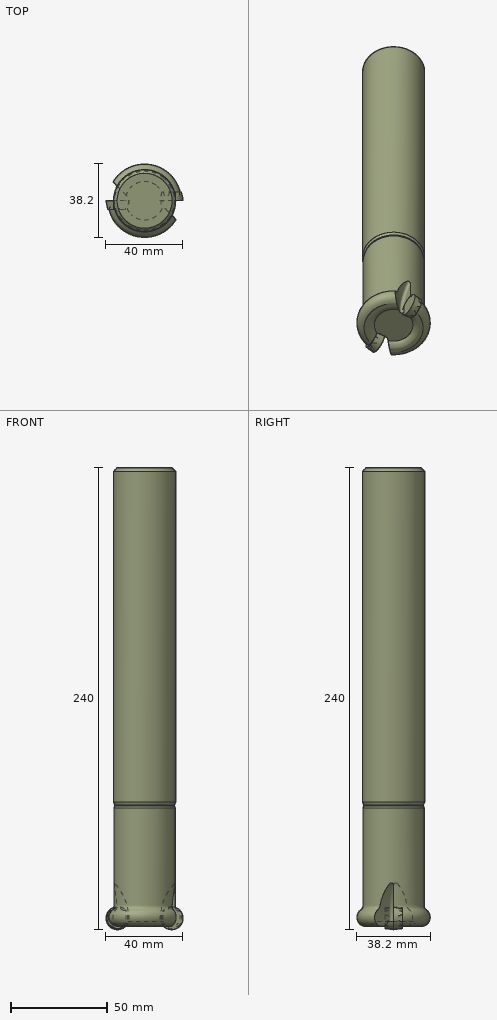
import cadquery as cq
import math

total_length = 240.0
shank_radius = 32.5 / 2
neck_radius = 32.0 / 2
top_chamfer = 2.0

groove_radius = 31.2 / 2
groove_top = 66.5
groove_bottom = 63.4
groove_upper_taper = 1.7
groove_lower_taper = 1.0

insert_count = 2
insert_radius = 6.0
cutting_radius = 40.0 / 2
insert_center_x = cutting_radius - insert_radius
insert_center_z = insert_radius
insert_thickness = 4.5
clearance_angle = 7.0
flat_count = 6
flat_angle = 14.0
flat_start = 1.7

bead_outer_radius = 38.2 / 2
bead_radius = 4.8
bead_center_r = bead_outer_radius - bead_radius
bead_center_z = 6.5
neck_fillet = 2.5
rim_bottom = 1.8
core_bottom = 4.3

pocket_corner_x = 16.5
pocket_corner_y = 10.0
pocket_floor_angle = 44.0
pocket_straight_top = 7.2
pocket_sweep_radius = 30.0
pocket_corner_fillet = 1.2
pocket_sweep_angle = 45.0
pocket_bottom = -2.5
cutter_reach = 48.0


def bead_point(angle):
    """Point (r, z) on the bead circle at an angle in degrees above the outward direction."""
    turn = math.radians(angle)
    return (bead_center_r + bead_radius * math.cos(turn), bead_center_z + bead_radius * math.sin(turn))


def make_blank():
    """Turned profile: collar bead blended into the neck, then the groove, shank and top chamfer."""
    fillet_center_r = neck_radius + neck_fillet
    center_distance = bead_radius + neck_fillet
    blend_angle = math.degrees(math.acos((fillet_center_r - bead_center_r) / center_distance))
    blend_top = bead_center_z + center_distance * math.sin(math.radians(blend_angle))
    blend_mid_turn = math.radians(180 + blend_angle / 2)
    blend_mid = (
        fillet_center_r + neck_fillet * math.cos(blend_mid_turn),
        blend_top + neck_fillet * math.sin(blend_mid_turn),
    )
    rim_angle = -math.degrees(math.asin((bead_center_z - rim_bottom) / bead_radius))
    core_angle = -180 + math.degrees(math.asin((bead_center_z - core_bottom) / bead_radius))
    return (
        cq.Workplane("XZ")
        .moveTo(0, core_bottom)
        .lineTo(*bead_point(core_angle))
        .threePointArc(bead_point((core_angle - 180 - rim_angle) / 2), bead_point(-180 - rim_angle))
        .lineTo(*bead_point(rim_angle))
        .threePointArc(bead_point((rim_angle + blend_angle) / 2), bead_point(blend_angle))
        .threePointArc(blend_mid, (neck_radius, blend_top))
        .lineTo(neck_radius, groove_bottom)
        .lineTo(groove_radius, groove_bottom + groove_lower_taper)
        .lineTo(groove_radius, groove_top - groove_upper_taper)
        .lineTo(shank_radius, groove_top)
        .lineTo(shank_radius, total_length - top_chamfer)
        .lineTo(shank_radius - top_chamfer, total_length)
        .lineTo(0, total_length)
        .close()
        .revolve(360, (0, 0, 0), (0, 1, 0))
    )


def make_insert():
    """Round insert on the +X side: cutting face on y = 0, tapered flank with flats towards the back."""
    back_radius = insert_radius - insert_thickness * math.tan(math.radians(clearance_angle))
    flat_start_radius = insert_radius - flat_start * math.tan(math.radians(clearance_angle))
    flat_back_radius = flat_start_radius - (insert_thickness - flat_start) * math.tan(math.radians(flat_angle))
    button = (
        cq.Workplane("XY")
        .lineTo(insert_radius, 0)
        .lineTo(back_radius, insert_thickness)
        .lineTo(0, insert_thickness)
        .close()
        .revolve(360, (0, 0, 0), (0, 1, 0))
    )
    flat_cutter = (
        cq.Workplane("XY")
        .moveTo(flat_start_radius, flat_start)
        .lineTo(flat_back_radius, insert_thickness)
        .lineTo(insert_radius, insert_thickness)
        .lineTo(insert_radius, flat_start)
        .close()
        .extrude(insert_radius, both=True)
    )
    for i in range(flat_count):
        button = button.cut(flat_cutter.rotate((0, 0, 0), (0, 1, 0), i * 360 / flat_count))
    return button.translate((insert_center_x, 0, insert_center_z))


def sweep_point(angle):
    """Point (outward offset, z) on the arc that carries the pocket floor out through the neck."""
    turn = math.radians(angle)
    return (
        pocket_sweep_radius * (1 - math.cos(turn)),
        pocket_straight_top + pocket_sweep_radius * math.sin(turn),
    )


def make_pocket():
    """Chip pocket on the +X side: wall on y = 0, slanted floor that sweeps outwards above the insert."""
    sweep_end = sweep_point(pocket_sweep_angle)
    behind_floor = (
        cq.Workplane("XZ")
        .moveTo(0, pocket_bottom)
        .lineTo(0, pocket_straight_top)
        .threePointArc(sweep_point(pocket_sweep_angle / 2), sweep_end)
        .lineTo(cutter_reach, sweep_end[1])
        .lineTo(cutter_reach, pocket_bottom)
        .close()
        .extrude(cutter_reach, both=True)
        .rotate((0, 0, 0), (0, 0, 1), pocket_floor_angle)
        .translate((pocket_corner_x, -pocket_corner_y, 0))
    )
    before_wall = cq.Workplane("XY").box(
        4 * cutter_reach, cutter_reach, 4 * cutter_reach
    ).translate((0, -cutter_reach / 2, 0))
    corner_x = pocket_corner_x - pocket_corner_y * math.tan(math.radians(pocket_floor_angle))
    corner_edge = cq.NearestToPointSelector((corner_x, 0, insert_center_z / 2))
    return behind_floor.intersect(before_wall).edges(corner_edge).fillet(pocket_corner_fillet)


def around(shape, i):
    """Turn a shape to the i-th cutting position about the tool axis."""
    return shape.rotate((0, 0, 0), (0, 0, 1), i * 360 / insert_count)


inserts = [around(make_insert(), i) for i in range(insert_count)]
body = make_blank()
for i in range(insert_count):
    body = body.cut(around(make_pocket(), i))
    body = body.cut(inserts[i])

result = cq.Compound.makeCompound([body.val(), *[insert.val() for insert in inserts]])